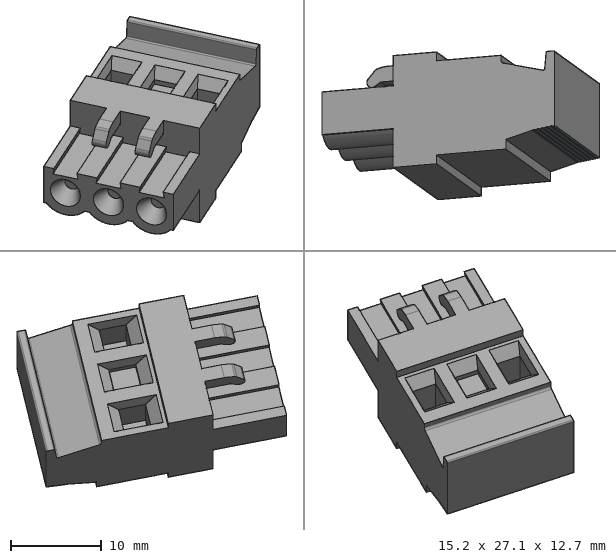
import cadquery as cq
import math

POLES = 3
PITCH = 5.07
WIDTH = 15.23
LENGTH = 27.1
HEIGHT = 12.7

COLLAR_FRONT = 8.3
COLLAR_REAR = 13.33
COLLAR_STEP = 1.0
BODY_TOP = HEIGHT - COLLAR_STEP
BODY_BOTTOM = COLLAR_STEP
RAMP_TOP_Y = 20.85
RAMP_TOP_Z = 10.87
RAMP_LOW_Y = 25.9
RAMP_LOW_Z = 9.57
LIP_TOP_Y = 26.1
ROOT_FILLET = 0.15
RAMP_TOP_FILLET = 0.33
LIP_ROUND = 0.15
BELLY_STEP_Y = 21.4
BELLY_STEP_Z = 2.1
BELLY_BEND_Y = 24.47
BELLY_BEND_Z = 2.87
REAR_BOTTOM_Z = 3.2

GRIP_COUNT = 5
GRIP_PITCH = 0.51
GRIP_FIRST_FROM_REAR = 0.4
GRIP_RADIUS = 0.08

NOSE_TOP = 9.27
NOSE_BOTTOM = 4.42
SOCKET_Z = 6.35
BARREL_BOTTOM = 3.4
BARREL_RADIUS = SOCKET_Z - BARREL_BOTTOM
KEYWAY_FLOOR = 8.55
KEYWAY_TOP_WIDTH = 2.7
KEYWAY_FLOOR_WIDTH = 2.93
SOCKET_MOUTH_DIA = 3.52
SOCKET_END_DIA = 1.6
SOCKET_DEPTH = 2.0

POCKET_FRONT = 13.77
POCKET_REAR = 19.27
POCKET_WIDTH = 3.52
SHAFT_FRONT = 15.05
SHAFT_REAR = 18.08
SHAFT_WIDTH = 2.8
FUNNEL_DEPTH = 1.1
CENTRE_POCKET_DEPTH = 1.7
OUTER_POCKET_DEPTH = 4.88

LATCH_WIDTH = 1.63
LATCH_UNDERSIDE = 10.98
LATCH_FILLET = 0.1
LATCH_BEND_Y = 6.1
LATCH_SHOULDER_Y = 4.77
LATCH_SHOULDER_Z = 12.4
LATCH_ARC_SAG = 0.05
LATCH_SHOULDER_ROUND = 0.55
TIP_Y = 4.35
TIP_Z = 11.03
TIP_RADIUS = 0.6
LATCH_HEEL_Y = 5.42

POLE_X = [(i - (POLES - 1) / 2) * PITCH for i in range(POLES)]
LATCH_X = [x + PITCH / 2 for x in POLE_X[:-1]]


def side_profile(x_centre, width, start):
    """Start a YZ sketch whose extrusion is centred on x_centre."""
    return cq.Workplane("YZ", origin=(x_centre - width / 2, 0, 0)).moveTo(*start)


def edge_at(y, z, x_centre=0):
    """Select the edge along X whose middle is at the given place."""
    reach = 0.03
    low = (x_centre - reach, y - reach, z - reach)
    high = (x_centre + reach, y + reach, z + reach)
    return cq.selectors.BoxSelector(low, high)


def make_housing():
    outline = [
        (COLLAR_FRONT, HEIGHT),
        (COLLAR_REAR, HEIGHT),
        (COLLAR_REAR, BODY_TOP),
        (RAMP_TOP_Y, BODY_TOP),
        (RAMP_TOP_Y, RAMP_TOP_Z),
        (RAMP_LOW_Y, RAMP_LOW_Z),
        (LIP_TOP_Y, BODY_TOP),
        (LENGTH, BODY_TOP),
        (LENGTH, REAR_BOTTOM_Z),
        (BELLY_BEND_Y, BELLY_BEND_Z),
        (BELLY_STEP_Y, BELLY_STEP_Z),
        (BELLY_STEP_Y, BODY_BOTTOM),
        (COLLAR_REAR, BODY_BOTTOM),
        (COLLAR_REAR, 0),
    ]
    housing = side_profile(0, WIDTH, (COLLAR_FRONT, 0)).polyline(outline, includeCurrent=True).close()
    housing = housing.extrude(WIDTH)

    housing = housing.edges(edge_at(RAMP_TOP_Y, RAMP_TOP_Z)).fillet(RAMP_TOP_FILLET)
    housing = housing.edges(edge_at(RAMP_LOW_Y, RAMP_LOW_Z)).fillet(ROOT_FILLET)
    for lip_y in (LIP_TOP_Y, LENGTH):
        housing = housing.edges(edge_at(lip_y, BODY_TOP)).fillet(LIP_ROUND)
    return housing


def make_grip_grooves():
    slope = (REAR_BOTTOM_Z - BELLY_BEND_Z) / (LENGTH - BELLY_BEND_Y)
    centres = []
    for i in range(GRIP_COUNT):
        from_rear = GRIP_FIRST_FROM_REAR + i * GRIP_PITCH
        centres.append((LENGTH - from_rear, REAR_BOTTOM_Z - slope * from_rear))
    return side_profile(0, WIDTH, (0, 0)).pushPoints(centres).circle(GRIP_RADIUS).extrude(WIDTH)


def nose_block(width, z_low, z_high):
    """Block of the nose's full length, centred across the part."""
    block = cq.Workplane("XZ").center(0, (z_low + z_high) / 2)
    return block.rect(width, z_high - z_low).extrude(-COLLAR_FRONT)


def make_barrel(x):
    """Rounded housing wall under one socket, cut off at the sides of the part."""
    barrel = cq.Workplane("XZ").center(x, SOCKET_Z)
    barrel = barrel.circle(BARREL_RADIUS).extrude(-COLLAR_FRONT)
    return barrel.intersect(nose_block(WIDTH, 0, SOCKET_Z))


def make_keyway(x):
    """Dovetail groove along the top, wider at its floor."""
    outline = [
        (x - KEYWAY_TOP_WIDTH / 2, NOSE_TOP),
        (x + KEYWAY_TOP_WIDTH / 2, NOSE_TOP),
        (x + KEYWAY_FLOOR_WIDTH / 2, KEYWAY_FLOOR),
        (x - KEYWAY_FLOOR_WIDTH / 2, KEYWAY_FLOOR),
    ]
    return cq.Workplane("XZ").polyline(outline).close().extrude(-COLLAR_FRONT)


def make_socket(x):
    """Conical pin socket narrowing toward the rear."""
    socket = cq.Workplane("XZ").center(x, SOCKET_Z).circle(SOCKET_MOUTH_DIA / 2)
    return socket.workplane(offset=-SOCKET_DEPTH).circle(SOCKET_END_DIA / 2).loft()


def make_nose():
    nose = nose_block(WIDTH, NOSE_BOTTOM, NOSE_TOP)
    for x in POLE_X:
        nose = nose.union(make_barrel(x))
    for x in POLE_X:
        nose = nose.cut(make_keyway(x)).cut(make_socket(x))
    return nose


def make_pocket(x, depth):
    """Funnel narrowing to a straight-walled shaft with a flat floor."""
    shaft_length = SHAFT_REAR - SHAFT_FRONT
    shaft_shift = (SHAFT_REAR + SHAFT_FRONT - POCKET_REAR - POCKET_FRONT) / 2
    mouth = cq.Workplane("XY", origin=(x, (POCKET_FRONT + POCKET_REAR) / 2, BODY_TOP))
    funnel = mouth.rect(POCKET_WIDTH, POCKET_REAR - POCKET_FRONT)
    funnel = funnel.workplane(offset=-FUNNEL_DEPTH).center(0, shaft_shift)
    funnel = funnel.rect(SHAFT_WIDTH, shaft_length).loft(ruled=True)
    shaft = mouth.center(0, shaft_shift).rect(SHAFT_WIDTH, shaft_length).extrude(-depth)
    return funnel.union(shaft)


def make_latch(x):
    """Cantilever hook reaching forward from the collar, with a round down-turned tip."""
    shoulder = (LATCH_SHOULDER_Y, LATCH_SHOULDER_Z)
    arc_mid = ((LATCH_BEND_Y + LATCH_SHOULDER_Y) / 2, (HEIGHT + LATCH_SHOULDER_Z) / 2 + LATCH_ARC_SAG)
    heel = (LATCH_HEEL_Y, LATCH_UNDERSIDE)

    def tip_tangent(point, side):
        """Point where a line from the given point touches the tip circle."""
        dy = point[0] - TIP_Y
        dz = point[1] - TIP_Z
        angle = math.atan2(dz, dy) + side * math.acos(TIP_RADIUS / math.hypot(dy, dz))
        return (TIP_Y + TIP_RADIUS * math.cos(angle), TIP_Z + TIP_RADIUS * math.sin(angle))

    front_tangent = tip_tangent(shoulder, 1)
    under_tangent = tip_tangent(heel, -1)
    tip_diagonal = TIP_RADIUS * math.sqrt(0.5)
    tip_end = (TIP_Y - tip_diagonal, TIP_Z - tip_diagonal)
    latch = side_profile(x, LATCH_WIDTH, (COLLAR_FRONT, HEIGHT)).lineTo(LATCH_BEND_Y, HEIGHT)
    latch = latch.threePointArc(arc_mid, shoulder).lineTo(*front_tangent)
    latch = latch.threePointArc(tip_end, under_tangent).lineTo(*heel)
    latch = latch.lineTo(COLLAR_FRONT - LATCH_FILLET, LATCH_UNDERSIDE)
    latch = latch.radiusArc((COLLAR_FRONT, LATCH_UNDERSIDE - LATCH_FILLET), LATCH_FILLET)
    latch = latch.close().extrude(LATCH_WIDTH)
    return latch.edges(edge_at(*shoulder, x)).fillet(LATCH_SHOULDER_ROUND)


result = make_housing().cut(make_grip_grooves()).union(make_nose())
for pole_x in POLE_X:
    pocket_depth = CENTRE_POCKET_DEPTH if pole_x == 0 else OUTER_POCKET_DEPTH
    result = result.cut(make_pocket(pole_x, pocket_depth))
for latch_x in LATCH_X:
    result = result.union(make_latch(latch_x))